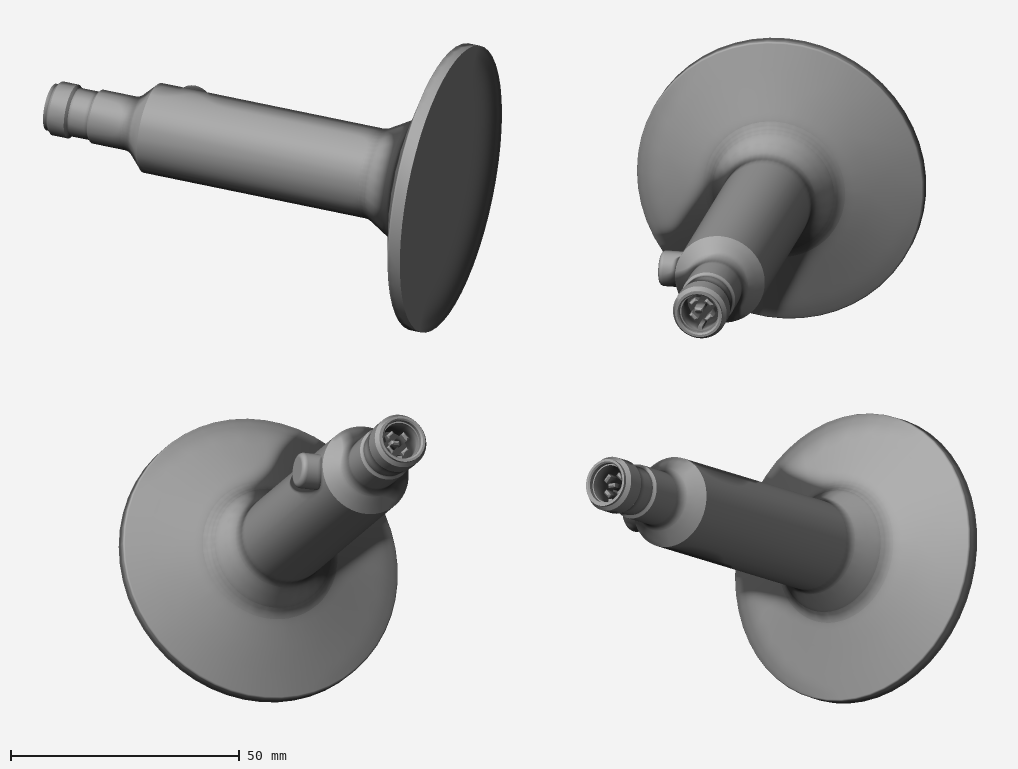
import cadquery as cq
import math

overall_length = 93.2
collar_start = 1.5
collar_end = 5.1
sleeve_start = 10.8
body_start = 23.7
rim_width = 2.5

lip_diameter = 10.4
neck_diameter = 12.0
groove_diameter = 10.8
body_diameter = 20.0
flange_diameter = 64.0

shoulder_angle = 45.0
shoulder_blend = 3.1
throat_angle = 30.0
flange_angle = 70.0
throat_blend = 4.0
rim_rounding = 0.5
throat_start = 75.3
throat_end = 82.6

button_x = 28.5
button_diameter = 7.8
button_reach = 14.2
button_rounding = 1.1

socket_diameter = 8.2
mouth_diameter = 9.4
recess_diameter = 8.8
recess_depth = 1.3
socket_depth = 8.4
pin_width = 1.9
pin_thickness = 0.9
pin_tip_x = 2.8
pin_tip_chamfer = 0.4
pin_circle_radius = 2.4
center_pin_offset = 0.6
key_width = 0.9
key_height = 0.7
key_start_x = 1.9
overlap = 0.5


def blend(start, direction_in, direction_out, radius):
    """Middle and end point of an arc turning counter-clockwise between two headings in degrees."""
    def offset(angle):
        swing = math.radians(angle)
        base = math.radians(direction_in)
        return (
            start[0] + radius * (math.sin(swing) - math.sin(base)),
            start[1] + radius * (math.cos(base) - math.cos(swing)),
        )
    return offset((direction_in + direction_out) / 2), offset(direction_out)


def rim_rounding_point(angle):
    """Point on the front rounding of the flange rim where the outline climbs at the given angle."""
    swing = math.radians(angle)
    return (
        overall_length - rim_width - rim_rounding * math.sin(swing),
        flange_diameter / 2 - rim_rounding * (1 - math.cos(swing)),
    )


def turned_body():
    """Plug neck, body and flange revolved about X."""
    lip_r = lip_diameter / 2
    neck_r = neck_diameter / 2
    groove_r = groove_diameter / 2
    body_r = body_diameter / 2
    flange_r = flange_diameter / 2
    groove_step = neck_r - groove_r

    shoulder_slope = math.tan(math.radians(shoulder_angle))
    cone_corner_x = body_start - (body_r - neck_r) / shoulder_slope
    shoulder_tangent = shoulder_blend * math.tan(math.radians(shoulder_angle / 2))
    shoulder_begin = (cone_corner_x - shoulder_tangent, neck_r)
    shoulder_mid, shoulder_end = blend(shoulder_begin, 0, shoulder_angle, shoulder_blend)

    throat_begin = (throat_start, body_r)
    throat_mid, throat_cone = blend(throat_begin, 0, throat_angle, throat_blend)
    throat_rise = (throat_end - throat_cone[0]) * math.tan(math.radians(throat_angle))
    flare_begin = (throat_end, throat_cone[1] + throat_rise)
    flare_mid, flare_end = blend(flare_begin, throat_angle, flange_angle, throat_blend)

    rim_begin = rim_rounding_point(flange_angle)
    rim_mid = rim_rounding_point(flange_angle / 2)
    rim_end = rim_rounding_point(0)

    profile = (
        cq.Workplane("XY")
        .lineTo(0, lip_r)
        .lineTo(collar_start - (neck_r - lip_r), lip_r)
        .lineTo(collar_start, neck_r)
        .lineTo(collar_end, neck_r)
        .lineTo(collar_end + groove_step, groove_r)
        .lineTo(sleeve_start - groove_step, groove_r)
        .lineTo(sleeve_start, neck_r)
        .lineTo(*shoulder_begin)
        .threePointArc(shoulder_mid, shoulder_end)
        .lineTo(body_start, body_r)
        .lineTo(*throat_begin)
        .threePointArc(throat_mid, throat_cone)
        .lineTo(*flare_begin)
        .threePointArc(flare_mid, flare_end)
        .lineTo(*rim_begin)
        .threePointArc(rim_mid, rim_end)
        .lineTo(overall_length, flange_r)
        .lineTo(overall_length, 0)
        .close()
    )
    return profile.revolve(360, (0, 0, 0), (1, 0, 0))


def button():
    """Round button with a rounded outer edge, starting inside the body."""
    return (
        cq.Workplane("XZ", origin=(button_x, 0, 0))
        .circle(button_diameter / 2)
        .extrude(-button_reach)
        .faces(">Y")
        .edges()
        .fillet(button_rounding)
    )


def socket():
    """Cavity at the plug end: chamfered mouth, shallow recess, then the blind bore."""
    socket_r = socket_diameter / 2
    recess_r = recess_diameter / 2
    mouth_r = mouth_diameter / 2
    return (
        cq.Workplane("XY")
        .lineTo(0, mouth_r)
        .lineTo(mouth_r - recess_r, recess_r)
        .lineTo(recess_depth, recess_r)
        .lineTo(recess_depth, socket_r)
        .lineTo(socket_depth, socket_r)
        .lineTo(socket_depth, 0)
        .close()
        .revolve(360, (0, 0, 0), (1, 0, 0))
    )


def pin(angle, y, z):
    """Flat contact blade with a chamfered tip, turned about its own axis and placed at (y, z)."""
    length = socket_depth - pin_tip_x + overlap
    return (
        cq.Workplane("XY")
        .box(length, pin_thickness, pin_width, centered=(False, True, True))
        .faces("<X")
        .chamfer(pin_tip_chamfer)
        .rotate((0, 0, 0), (1, 0, 0), angle)
        .translate((pin_tip_x, y, z))
    )


def contacts():
    """One central blade and four blades set across the diagonals."""
    pins = pin(90, center_pin_offset, 0)
    for angle in (45, 135, 225, 315):
        y = pin_circle_radius * math.cos(math.radians(angle))
        z = pin_circle_radius * math.sin(math.radians(angle))
        pins = pins.add(pin(angle, y, z))
    return pins.combine()


def key():
    """Coding rib along the bottom of the socket wall."""
    length = socket_depth - key_start_x + overlap
    return (
        cq.Workplane("XY", origin=(key_start_x, 0, -socket_diameter / 2 - overlap))
        .box(length, key_width, key_height + overlap, centered=(False, True, False))
    )


result = turned_body().union(button()).cut(socket()).union(contacts()).union(key())